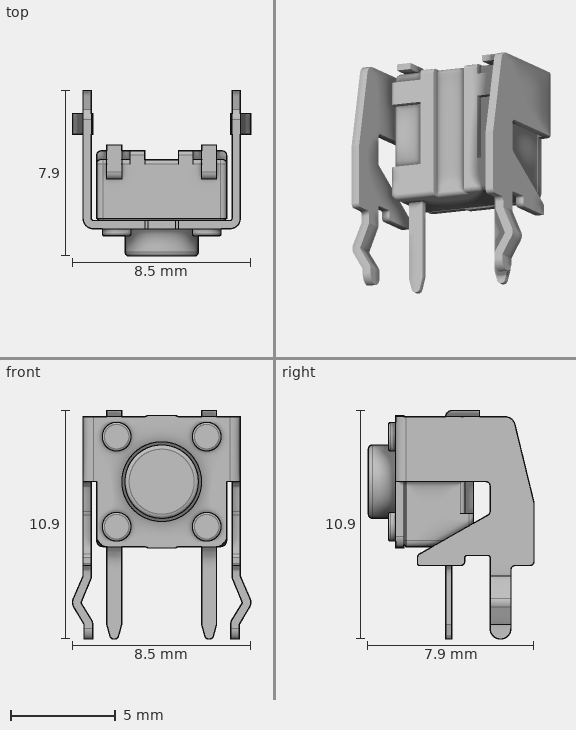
import cadquery as cq


SHEET = 0.4
COVER_HALF_WIDTH = 3.75
BEND_OUTER_RADIUS = 0.5
BEND_INNER_RADIUS = BEND_OUTER_RADIUS - SHEET
PLATE_CORNER_RADIUS = 0.5
PLUNGER_HOLE_DIAMETER = 3.8
BUMP_HEIGHT = 0.06
BUMP_HALF_TOP = 0.66
BUMP_HALF_BASE = 0.8

HALF_BODY = 3.1
BODY_SIDE_RADIUS = 0.3
BODY_BACK_Y = 3.3
BODY_BACK_RADIUS = 0.2
BODY_FRONT_CHAMFER = 0.1
FOOT_BACK_Y = 3.72
FOOT_INNER_X = 0.8
FOOT_GAP_HALF_HEIGHT = 1.52
UPPER_FOOT_TOP_Z = 2.6
FOOT_CORNER_RADIUS = 0.22
COLUMN_OUTER_X = 1.5
COLUMN_TOP_RADIUS = 0.2

PLUNGER_DIAMETER = 3.5
PLUNGER_HEIGHT = 1.3
PLUNGER_EDGE_RADIUS = 0.2
RIVET_DIAMETER = 1.37
RIVET_HEIGHT = 0.34
RIVET_EDGE_RADIUS = 0.1
RIVET_OFFSET = 2.145

ARM_BACK_Y = 6.6
ARM_TOP_BACK_Y = 5.6
ARM_SLOPE_END_Z = -1.0
ARM_BOTTOM_Z = -4.0
ARM_TOP_RADIUS = 0.5
ARM_CORNER_RADIUS = 0.2
ARM_SMALL_RADIUS = 0.1
ARM_TIP_Y = 1.04
ARM_TIP_Z = -3.5
NOTCH_FRONT_Y = 3.3
NOTCH_TOP_Z = -3.52
WINDOW_BACK_Y = 4.5
WINDOW_BOTTOM_Z = -1.53

LEG_WIDTH = 1.0
LEG_FRONT_Y = WINDOW_BACK_Y
LEG_BACK_Y = LEG_FRONT_Y + LEG_WIDTH
LEG_END_Z = -7.5
LEG_OUTER_BENDS = [(-4.305, -5.78), (-3.7, -6.8)]
LEG_OUTER_START_Z = -4.5
LEG_INNER_BENDS = [(-3.84, -5.77), (-3.28, -6.68)]
LEG_INNER_START_Z = -4.58
LEG_APEX_OUTER_RADIUS = 0.45
LEG_APEX_INNER_RADIUS = 0.1

TERMINAL_OFFSET = 2.26
TERMINAL_WIDTH = 0.72
TERMINAL_THICKNESS = 0.3
TERMINAL_FRONT_Y = 2.38
TERMINAL_END_Z = -7.5
TERMINAL_TAPER_Z = -6.8
TERMINAL_TIP_HALF_WIDTH = 0.17
TERMINAL_TIP_RADIUS = 0.2
TAB_BACK_Y = 4.0
TAB_BEND_RADIUS = 0.33


def box(x_range, y_range, z_range):
    """Box spanning the given (low, high) ranges."""
    spans = (x_range, y_range, z_range)
    lengths = [high - low for low, high in spans]
    corner = tuple(low for low, high in spans)
    return cq.Workplane("XY").box(*lengths, centered=False).translate(corner)


def extrude_along_x(points, x_start, x_end):
    """Prism along X of an outline of (Y, Z) points."""
    sketch = cq.Workplane("YZ").workplane(offset=x_start).polyline(points).close()
    return sketch.extrude(x_end - x_start)


def extrude_along_y(points, y_start, y_end):
    """Prism along Y of an outline of (X, Z) points."""
    sketch = cq.Workplane("XZ").workplane(offset=-y_end).polyline(points).close()
    return sketch.extrude(y_end - y_start)


def round_edge(solid, middle, radius):
    """Fillet the edge whose middle is nearest to the given point."""
    return solid.edges(cq.selectors.NearestToPointSelector(middle)).fillet(radius)


def with_mirror(solid):
    """The solid together with its mirror image across X = 0."""
    return solid.union(solid.mirror("YZ"))


def disc(x, z, diameter, y_front, y_back):
    """Cylinder along Y."""
    sketch = cq.Workplane("XZ").workplane(offset=-y_back).center(x, z).circle(diameter / 2)
    return sketch.extrude(y_back - y_front)


def make_front_plate():
    """Front plate with shallow bumps on its top and bottom edges; the plunger hole is cut later."""
    plate = box((-HALF_BODY, HALF_BODY), (0, SHEET), (-HALF_BODY, HALF_BODY))
    plate = plate.edges("|Y and <Z").fillet(PLATE_CORNER_RADIUS)
    bump_tip = HALF_BODY + BUMP_HEIGHT
    bump = [
        (-BUMP_HALF_BASE, HALF_BODY),
        (-BUMP_HALF_TOP, bump_tip),
        (BUMP_HALF_TOP, bump_tip),
        (BUMP_HALF_BASE, HALF_BODY),
        (BUMP_HALF_BASE, -HALF_BODY),
        (BUMP_HALF_TOP, -bump_tip),
        (-BUMP_HALF_TOP, -bump_tip),
        (-BUMP_HALF_BASE, -HALF_BODY),
    ]
    return plate.union(extrude_along_y(bump, 0, SHEET))


def make_bends():
    """U-shaped upper half of the cover, from the plate round to the start of the side arms."""
    inner = COVER_HALF_WIDTH - SHEET
    depth = 2 * BEND_OUTER_RADIUS
    outside = box((-COVER_HALF_WIDTH, COVER_HALF_WIDTH), (0, depth), (0, HALF_BODY))
    outside = outside.edges("|Z and <Y").fillet(BEND_OUTER_RADIUS)
    inside = box((-inner, inner), (SHEET, 2 * depth), (0, HALF_BODY))
    inside = inside.edges("|Z and <Y").fillet(BEND_INNER_RADIUS)
    return outside.cut(inside)


def make_arm():
    """Flat arm on the -X side, with the hooked lower tip and the stub of the snap-in leg."""
    corners = [
        (BEND_OUTER_RADIUS, HALF_BODY, 0),
        (ARM_TOP_BACK_Y, HALF_BODY, ARM_TOP_RADIUS),
        (ARM_BACK_Y, ARM_SLOPE_END_Z, 0),
        (ARM_BACK_Y, ARM_BOTTOM_Z, ARM_CORNER_RADIUS),
        (LEG_BACK_Y, ARM_BOTTOM_Z, ARM_CORNER_RADIUS),
        (LEG_BACK_Y, LEG_OUTER_START_Z, 0),
        (LEG_FRONT_Y, LEG_OUTER_START_Z, 0),
        (LEG_FRONT_Y, NOTCH_TOP_Z, ARM_SMALL_RADIUS),
        (NOTCH_FRONT_Y, NOTCH_TOP_Z, ARM_SMALL_RADIUS),
        (NOTCH_FRONT_Y, ARM_BOTTOM_Z, ARM_CORNER_RADIUS),
        (ARM_TIP_Y, ARM_BOTTOM_Z, ARM_SMALL_RADIUS),
        (ARM_TIP_Y, ARM_TIP_Z, ARM_CORNER_RADIUS),
        (WINDOW_BACK_Y, WINDOW_BOTTOM_Z, ARM_CORNER_RADIUS),
        (WINDOW_BACK_Y, 0, ARM_CORNER_RADIUS),
        (BEND_OUTER_RADIUS, 0, 0),
    ]
    outline = [(y, z) for y, z, radius in corners]
    arm = extrude_along_x(outline, -COVER_HALF_WIDTH, SHEET - COVER_HALF_WIDTH)
    middle_x = SHEET / 2 - COVER_HALF_WIDTH
    for y, z, radius in corners:
        if radius > 0:
            arm = round_edge(arm, (middle_x, y, z), radius)
    return arm


def make_leg():
    """Kinked snap-in leg on the -X side with a round end."""
    inner_x = SHEET - COVER_HALF_WIDTH
    leg_top_z = ARM_BOTTOM_Z - ARM_CORNER_RADIUS
    end_outer_x = LEG_OUTER_BENDS[-1][0]
    end_inner_x = LEG_INNER_BENDS[-1][0]
    outline = [
        (inner_x, leg_top_z),
        (-COVER_HALF_WIDTH, leg_top_z),
        (-COVER_HALF_WIDTH, LEG_OUTER_START_Z),
        *LEG_OUTER_BENDS,
        (end_outer_x, LEG_END_Z),
        (end_inner_x, LEG_END_Z),
        *reversed(LEG_INNER_BENDS),
        (inner_x, LEG_INNER_START_Z),
    ]
    leg = extrude_along_y(outline, LEG_FRONT_Y, LEG_BACK_Y)
    middle_y = (LEG_FRONT_Y + LEG_BACK_Y) / 2
    for (x, z), radius in (
        (LEG_OUTER_BENDS[0], LEG_APEX_OUTER_RADIUS),
        (LEG_INNER_BENDS[0], LEG_APEX_INNER_RADIUS),
        (LEG_INNER_BENDS[1], LEG_APEX_OUTER_RADIUS),
    ):
        leg = round_edge(leg, (x, middle_y, z), radius)
    end_center_z = LEG_END_Z + LEG_WIDTH / 2
    silhouette = (
        cq.Workplane("YZ")
        .moveTo(LEG_FRONT_Y, 0)
        .lineTo(LEG_FRONT_Y, end_center_z)
        .threePointArc((middle_y, LEG_END_Z), (LEG_BACK_Y, end_center_z))
        .lineTo(LEG_BACK_Y, 0)
        .close()
        .extrude(-2 * COVER_HALF_WIDTH)
    )
    return leg.intersect(silhouette)


def make_body():
    """Housing with stepped feet and columns on its back."""
    span = (-HALF_BODY, HALF_BODY)
    body = box(span, (SHEET, BODY_BACK_Y), span)
    body = body.edges("|Y").fillet(BODY_SIDE_RADIUS)
    body = body.faces("<Y").edges().chamfer(BODY_FRONT_CHAMFER)
    body = body.faces(">Y").edges().fillet(BODY_BACK_RADIUS)
    back = (BODY_BACK_Y - 2 * BODY_BACK_RADIUS, FOOT_BACK_Y)
    foot_x = (-HALF_BODY, -FOOT_INNER_X)
    lower_foot = box(foot_x, back, (-HALF_BODY, -FOOT_GAP_HALF_HEIGHT))
    lower_foot = lower_foot.edges("|Y and <X and <Z").fillet(BODY_SIDE_RADIUS)
    upper_foot = box(foot_x, back, (FOOT_GAP_HALF_HEIGHT, UPPER_FOOT_TOP_Z))
    column = box((-COLUMN_OUTER_X, -FOOT_INNER_X), back, (-FOOT_GAP_HALF_HEIGHT, HALF_BODY))
    column = column.edges(">Y and >Z").fillet(COLUMN_TOP_RADIUS)
    stand = column
    for foot in (lower_foot, upper_foot):
        stand = stand.union(foot.edges("|Z and <X and >Y").fillet(FOOT_CORNER_RADIUS))
    return body.union(with_mirror(stand))


def make_terminal():
    """Pin on the -X side that runs down through the housing, with its top end bent backwards."""
    back_y = TERMINAL_FRONT_Y + TERMINAL_THICKNESS
    half_width = TERMINAL_WIDTH / 2
    top_z = HALF_BODY + TERMINAL_THICKNESS
    outline = [
        (-half_width, top_z),
        (-half_width, TERMINAL_TAPER_Z),
        (-TERMINAL_TIP_HALF_WIDTH, TERMINAL_END_Z),
        (TERMINAL_TIP_HALF_WIDTH, TERMINAL_END_Z),
        (half_width, TERMINAL_TAPER_Z),
        (half_width, top_z),
    ]
    pin = extrude_along_y(outline, TERMINAL_FRONT_Y, back_y)
    pin = pin.faces("<Z").edges("|Y").fillet(TERMINAL_TIP_RADIUS)
    tab = box((-half_width, half_width), (TERMINAL_FRONT_Y, TAB_BACK_Y), (HALF_BODY, top_z))
    terminal = pin.union(tab).edges("|X and <Y and >Z").fillet(TAB_BEND_RADIUS)
    return terminal.translate((-TERMINAL_OFFSET, 0, 0))


def make_plunger():
    plunger = disc(0, 0, PLUNGER_DIAMETER, -PLUNGER_HEIGHT, 2 * SHEET)
    return plunger.faces("<Y").edges().fillet(PLUNGER_EDGE_RADIUS)


def make_rivet(x, z):
    rivet = disc(x, z, RIVET_DIAMETER, -RIVET_HEIGHT, SHEET)
    return rivet.faces("<Y").edges().fillet(RIVET_EDGE_RADIUS)


cover = make_front_plate().union(make_bends())
cover = cover.cut(disc(0, 0, PLUNGER_HOLE_DIAMETER, 0, SHEET))
cover = cover.union(with_mirror(make_arm().union(make_leg())))

result = cover.union(make_body()).union(with_mirror(make_terminal())).union(make_plunger())
for rivet_z in (-RIVET_OFFSET, RIVET_OFFSET):
    result = result.union(with_mirror(make_rivet(-RIVET_OFFSET, rivet_z)))